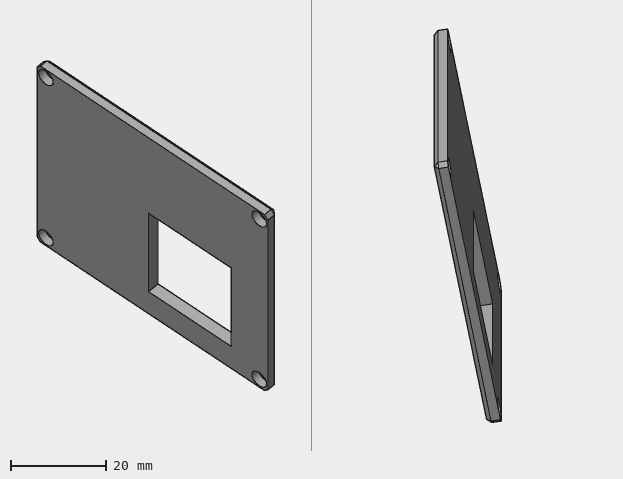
import cadquery as cq

width = 65.0
thickness = 3.0
height = 55.0
edge_chamfer = 1.0

recess_diameter = 4.1
recess_inset = 2.5
recess_depth = 2.0

window_width = 23.2
window_height = 24.5
window_left = 31.4
window_bottom = 6.9


def make_plate():
    """Plate with its lower left front corner at the origin; only the front rim stays sharp."""
    plate = cq.Workplane("XY").box(width, thickness, height, centered=False)
    return plate.edges("|Y or >Y").chamfer(edge_chamfer)


def make_window():
    """Block that cuts the window through the full thickness."""
    block = cq.Workplane("XY").box(window_width, thickness, window_height, centered=False)
    return block.translate((window_left, 0, window_bottom))


def make_recess(x, z):
    """Cylinder reaching from the front face into the plate."""
    axis = cq.Vector(0, 1, 0)
    return cq.Solid.makeCylinder(recess_diameter / 2, recess_depth, cq.Vector(x, 0, z), axis)


result = make_plate().cut(make_window())
for recess_x in (recess_inset, width - recess_inset):
    for recess_z in (recess_inset, height - recess_inset):
        result = result.cut(cq.Workplane(make_recess(recess_x, recess_z)))